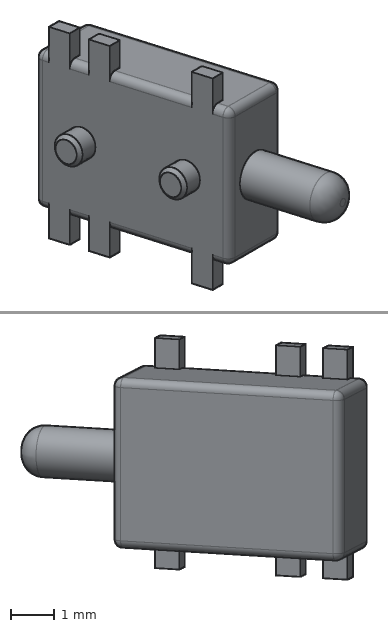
import cadquery as cq

overall_length = 8.1
body_length = 5.6
body_depth = 2.0
body_height = 4.0
body_edge_radius = 0.2

terminal_span = 5.4
terminal_width = 0.6
terminal_thickness = 0.4
terminal_left_edges = (0.4, 1.55, 4.5)

peg_diameter = 0.8
peg_length = 0.6
peg_chamfer = 0.1
first_peg_x = 1.34
peg_spacing = 3.005

plunger_diameter = 1.21
plunger_tip_radius = 0.5
root_overlap = 0.405


def make_body():
    """Housing block with every edge rounded."""
    block = cq.Workplane("XY").box(
        body_length, body_depth, body_height, centered=(False, False, True)
    )
    return block.edges().fillet(body_edge_radius)


def make_terminal(left_edge):
    """Flat strip flush with the front face, projecting above and below the body."""
    strip = cq.Workplane("XY").box(
        terminal_width, terminal_thickness, terminal_span, centered=(False, False, True)
    )
    return strip.translate((left_edge, 0, 0))


def make_peg(center_x):
    """Locating peg with a chamfered tip, pointing toward -Y."""
    peg = (
        cq.Workplane("XZ", origin=(center_x, root_overlap, 0))
        .circle(peg_diameter / 2)
        .extrude(peg_length + root_overlap)
    )
    return peg.faces("<Y").chamfer(peg_chamfer)


def make_plunger():
    """Round-tipped plunger centred on the right end of the body."""
    root_x = body_length - root_overlap
    plunger = (
        cq.Workplane("YZ", origin=(root_x, body_depth / 2, 0))
        .circle(plunger_diameter / 2)
        .extrude(overall_length - root_x)
    )
    return plunger.faces(">X").edges().fillet(plunger_tip_radius)


result = make_body().union(make_plunger())

for terminal_left_edge in terminal_left_edges:
    result = result.union(make_terminal(terminal_left_edge))

for peg_x in (first_peg_x, first_peg_x + peg_spacing):
    result = result.union(make_peg(peg_x))

result = result.clean()